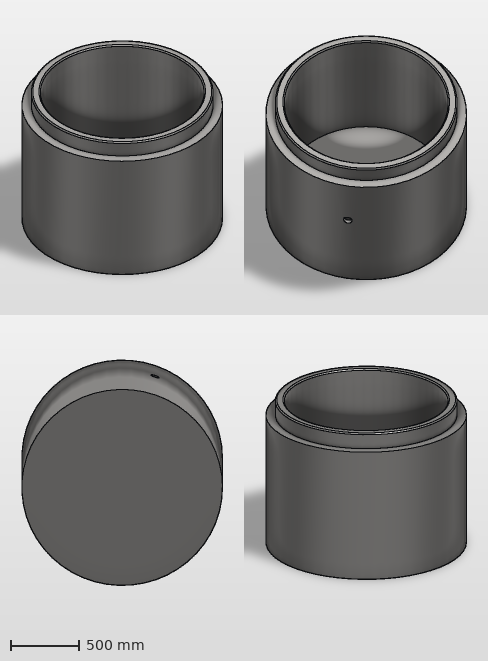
import cadquery as cq

outer_radius = 735.0
total_height = 1125.0
bore_radius = 600.0
floor_thickness = 200.0
neck_radius = 666.0
neck_height = 120.0
rim_chamfer = 10.0

hole_diameter = 62.0
hole_depth = 30.0
hole_height = 634.0
hole_angle = 8.5

shoulder_height = total_height - neck_height


def make_vessel():
    """Revolve the wall, floor and neck as one half section about Z."""
    half_section = [
        (0, 0),
        (outer_radius, 0),
        (outer_radius, shoulder_height),
        (neck_radius, shoulder_height),
        (neck_radius, total_height - rim_chamfer),
        (neck_radius - rim_chamfer, total_height),
        (bore_radius + rim_chamfer, total_height),
        (bore_radius, total_height - rim_chamfer),
        (bore_radius, floor_thickness),
        (0, floor_thickness),
    ]
    return cq.Workplane("XZ").polyline(half_section).close().revolve(360, (0, 0, 0), (0, 1, 0))


def make_side_hole():
    """Round radial cutter sunk into the outside of the wall."""
    return (
        cq.Workplane("XZ", origin=(0, outer_radius, hole_height))
        .circle(hole_diameter / 2)
        .extrude(hole_depth)
        .rotate((0, 0, 0), (0, 0, 1), hole_angle)
    )


result = make_vessel().cut(make_side_hole())